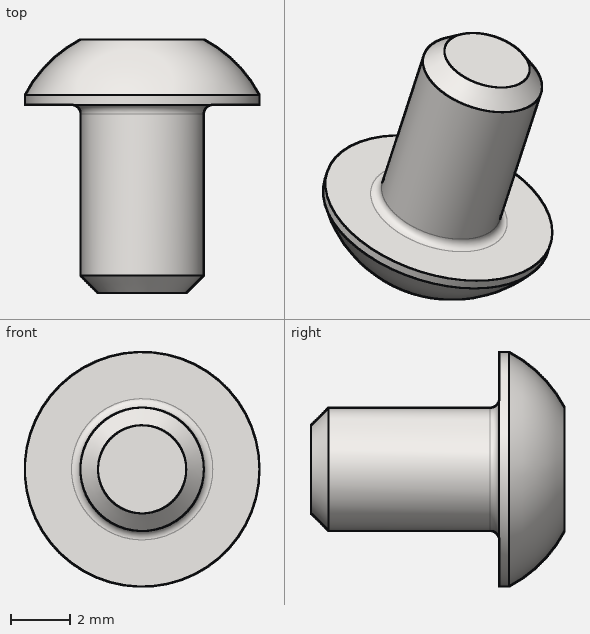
import cadquery as cq
import math

INCH = 25.4

head_diameter = 0.312 * INCH
head_height = 0.087 * INCH
rim_height = 0.33
crown_flat_diameter = 4.18
shank_diameter = 0.164 * INCH
shank_length = 0.25 * INCH
neck_fillet_radius = 0.30
tip_chamfer = 0.595

head_radius = head_diameter / 2
crown_flat_radius = crown_flat_diameter / 2
shank_radius = shank_diameter / 2
tip_radius = shank_radius - tip_chamfer


def dome_midpoint():
    """Point halfway up the dome, on the sphere centred on the axis through rim and crown edges."""
    center_y = (
        crown_flat_radius**2 + head_height**2 - head_radius**2 - rim_height**2
    ) / (2 * (head_height - rim_height))
    sphere_radius = math.hypot(head_radius, rim_height - center_y)
    middle_y = (rim_height + head_height) / 2
    middle_radius = math.sqrt(sphere_radius**2 - (middle_y - center_y) ** 2)
    return middle_radius, middle_y


def neck_fillet_midpoint():
    """Middle of the concave quarter arc joining the shank to the bearing face."""
    diagonal = neck_fillet_radius * math.sqrt(0.5)
    center_radius = shank_radius + neck_fillet_radius
    return center_radius - diagonal, -neck_fillet_radius + diagonal


def make_screw():
    """Revolve the half profile (radius along X, axis along Y) about the Y axis."""
    profile = (
        cq.Workplane("XY")
        .moveTo(0, -shank_length)
        .lineTo(tip_radius, -shank_length)
        .lineTo(shank_radius, -shank_length + tip_chamfer)
        .lineTo(shank_radius, -neck_fillet_radius)
        .threePointArc(neck_fillet_midpoint(), (shank_radius + neck_fillet_radius, 0))
        .lineTo(head_radius, 0)
        .lineTo(head_radius, rim_height)
        .threePointArc(dome_midpoint(), (crown_flat_radius, head_height))
        .lineTo(0, head_height)
        .close()
    )
    return profile.revolve(360, (0, 0, 0), (0, 1, 0))


result = make_screw()